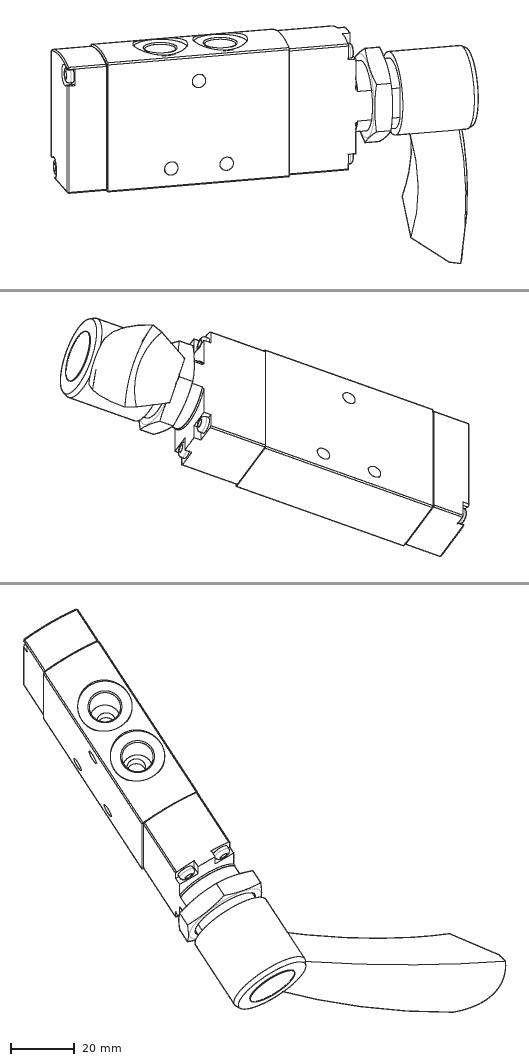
import cadquery as cq
import math


valve_width = 20.0
half_width = valve_width / 2
block_right = 10.5
block_bottom = -21.3
block_crown = 22.8
crown_rise = 1.7
cap_length = 13.0
block_end = 72.0
end_piece_bottom = -20.9
end_piece_crown = 22.2
edge_break = 0.5

mid_y = 42.6
port_offset = 9.8
port_spot_diameter = 17.1
port_spot_floor = 21.5
port_diameter = 9.8
port_depth = 12.0
port_mouth_chamfer = 0.5
passage_diameter = 5.9
passage_offset = 9.0
passage_depth = 4.5
mount_diameter = 4.4
mount_upper_z = 12.9
mount_lower_z = -15.2

screw_x = 6.5
screw_upper_z = 17.3
screw_lower_z = -17.3
screw_head_diameter = 5.3
screw_head_height = 2.1
screw_flat_diameter = 3.0
screw_head_rounding = (screw_head_diameter - screw_flat_diameter) / 2
screw_socket_diameter = 2.4
screw_socket_depth = 1.2
recess_diameter = 6.8
recess_depth = 2.4
recess_slot_height = 5.3

housing_end = 93.8
notch_inner_x = 3.2
notch_inner_z = 15.6
neck_diameter = 22.2
collar_diameter = 22.7
collar_length = 0.6
neck_end = 108.2

nut_across_flats = 27.0
nut_start = 98.9
nut_end = 104.9
nut_chamfer_diameter = 26.4
nut_chamfer_angle = 15.0

hub_diameter = 26.4
hub_end = 132.9
hub_edge_length = 1.5
hub_edge_inset = 0.8
hub_disc_diameter = 16.5
hub_disc_height = 0.3
arm_turn = 135.0
arm_start = 6.0
wedge_apex_y = 110.5
wedge_slope = 0.38
arm_back_y = 154.5
front_arc_start = (arm_start, 111.0)
front_arc_middle = (52.0, 125.7)
tip_front = (87.6, 129.9)
crown_radius = 472.5
crown_center = (151.2, -319.8)
crown_section_radius = 33.0
tip_slope = 0.7
tip_reach = 100.4
tip_radius = 24.0


def rod(diameter, y_start, y_end, x=0.0, z=0.0):
    """Cylinder along Y."""
    return cq.Workplane("XZ", origin=(x, y_end, z)).circle(diameter / 2).extrude(y_end - y_start)


def block_between(x_range, y_range, z_range):
    """Axis-aligned block given by its limits."""
    size = [high - low for low, high in (x_range, y_range, z_range)]
    corner = (x_range[0], y_range[0], z_range[0])
    return cq.Workplane("XY").box(*size, centered=False).translate(corner)


def domed_prism(right, bottom, crown, y_start, y_end):
    """Prism along Y with a flat bottom, flat sides and an arched top."""
    side_top = crown - crown_rise
    return (
        cq.Workplane("XZ", origin=(0, y_end, 0))
        .moveTo(-half_width, bottom)
        .lineTo(right, bottom)
        .lineTo(right, side_top)
        .threePointArc(((right - half_width) / 2, crown), (-half_width, side_top))
        .close()
        .extrude(y_end - y_start)
    )


def screw_head(x, z, seat_y, outward):
    """Rounded screw head with a socket; outward is +1 or -1 along Y."""
    head = rod(screw_head_diameter, 0, screw_head_height)
    head = head.faces(">Y").edges().fillet(screw_head_rounding)
    head = head.cut(
        rod(screw_socket_diameter, screw_head_height - screw_socket_depth, screw_head_height)
    )
    if outward < 0:
        head = head.mirror("XZ")
    return head.translate((x, seat_y, z))


def make_cap():
    cap = domed_prism(half_width, end_piece_bottom, end_piece_crown, 0, cap_length)
    cap = cap.edges().chamfer(edge_break)
    half_slot = recess_slot_height / 2
    upper_slot = (screw_upper_z - half_slot, screw_upper_z + half_slot)
    lower_slot = (block_bottom, screw_lower_z + half_slot)
    for side, z, z_range in ((1, screw_upper_z, upper_slot), (-1, screw_lower_z, lower_slot)):
        x = side * screw_x
        x_range = sorted((x, side * block_right))
        cap = cap.cut(rod(recess_diameter, 0, recess_depth, x, z))
        cap = cap.cut(block_between(x_range, (0, recess_depth), z_range))
        cap = cap.union(screw_head(x, z, recess_depth, -1))
    return cap


def make_valve_block():
    block = domed_prism(block_right, block_bottom, block_crown, cap_length, block_end)
    block = block.edges("|Y").chamfer(edge_break)
    for side in (-1, 1):
        port_y = mid_y + side * port_offset
        port = (
            cq.Workplane("XY", origin=(0, port_y, port_spot_floor))
            .circle(port_spot_diameter / 2).extrude(crown_rise)
            .faces("<Z").workplane().circle(port_diameter / 2).extrude(port_depth)
        )
        mouth = cq.Workplane("XY").add(
            cq.Solid.makeCone(
                port_diameter / 2 + port_mouth_chamfer, port_diameter / 2, port_mouth_chamfer,
                pnt=(0, port_y, port_spot_floor), dir=(0, 0, -1),
            )
        )
        passage = (
            cq.Workplane("XY", origin=(0, mid_y + side * passage_offset, port_spot_floor - port_depth))
            .circle(passage_diameter / 2).extrude(-passage_depth)
        )
        block = block.cut(port).cut(mouth).cut(passage)
    mount_places = (
        (mid_y, mount_upper_z),
        (mid_y - passage_offset, mount_lower_z),
        (mid_y + passage_offset, mount_lower_z),
    )
    mount_holes = (
        cq.Workplane("YZ").pushPoints(mount_places)
        .circle(mount_diameter / 2).extrude(2 * block_right, both=True)
    )
    return block.cut(mount_holes).union(make_cap())


def make_rear_housing():
    housing = domed_prism(half_width, end_piece_bottom, end_piece_crown, block_end, housing_end)
    housing = housing.edges("|Y").chamfer(edge_break)
    seat_y = housing_end - recess_depth
    for side in (-1, 1):
        x_range = sorted((side * notch_inner_x, side * block_right))
        for screw_z, z_range in (
            (screw_upper_z, (notch_inner_z, block_crown)),
            (screw_lower_z, (block_bottom, -notch_inner_z)),
        ):
            housing = housing.cut(block_between(x_range, (seat_y, housing_end), z_range))
            housing = housing.union(screw_head(side * screw_x, screw_z, seat_y, 1))
    neck_flats = block_between(
        (-half_width, half_width), (housing_end, neck_end), (-collar_diameter, collar_diameter)
    )
    collar = rod(collar_diameter, housing_end, housing_end + collar_length)
    neck = rod(neck_diameter, housing_end, neck_end).union(collar)
    return housing.union(neck.intersect(neck_flats))


def make_nut():
    corner_diameter = nut_across_flats / math.cos(math.radians(30))
    thickness = nut_end - nut_start
    nut = (
        cq.Workplane("XZ", origin=(0, nut_end, 0))
        .polygon(6, corner_diameter).extrude(thickness)
        .rotate((0, 0, 0), (0, 1, 0), 30)
    )
    corner_inset = (corner_diameter - nut_chamfer_diameter) / 2
    corner_drop = corner_inset * math.tan(math.radians(nut_chamfer_angle))
    rounded_corners = (
        rod(corner_diameter, nut_start, nut_end).edges().chamfer(corner_drop, corner_inset)
    )
    bore = rod(neck_diameter, nut_start, nut_end)
    return nut.intersect(rounded_corners).cut(bore)


def make_arm():
    """Wedge-shaped arm along +X, curved along its length and domed on its +Y back."""
    back_half_width = wedge_slope * (arm_back_y - wedge_apex_y)
    wedge = (
        cq.Workplane("YZ", origin=(arm_start, 0, 0))
        .polyline([(wedge_apex_y, 0), (arm_back_y, back_half_width), (arm_back_y, -back_half_width)])
        .close().extrude(tip_reach - arm_start)
    )
    tip_back_u = tip_front[0] + tip_slope * (arm_back_y - tip_front[1])
    side_profile = (
        cq.Workplane("XY")
        .moveTo(*front_arc_start)
        .threePointArc(front_arc_middle, tip_front)
        .lineTo(tip_back_u, arm_back_y)
        .lineTo(arm_start, arm_back_y)
        .close().extrude(back_half_width, both=True)
    )
    crown = cq.Workplane("XY").add(
        cq.Solid.makeTorus(
            crown_radius - crown_section_radius, crown_section_radius, cq.Vector(*crown_center, 0)
        )
    )
    tip_center = tip_reach - tip_radius
    rounded_plan = (
        cq.Workplane("XZ", origin=(0, arm_back_y, 0))
        .moveTo(0, -tip_radius)
        .lineTo(tip_center, -tip_radius)
        .threePointArc((tip_reach, 0), (tip_center, tip_radius))
        .lineTo(0, tip_radius)
        .close().extrude(arm_back_y - front_arc_start[1])
    )
    return wedge.intersect(side_profile).intersect(crown).intersect(rounded_plan)


def make_lever():
    hub = rod(hub_diameter, neck_end, hub_end)
    hub = hub.faces(">Y").chamfer(hub_edge_length, hub_edge_inset)
    hub = hub.union(rod(hub_disc_diameter, hub_end, hub_end + hub_disc_height))
    arm = make_arm().rotate((0, 0, 0), (0, 1, 0), arm_turn)
    return hub.union(arm)


valve_block = make_valve_block()
rear_housing = make_rear_housing()
nut = make_nut()
lever = make_lever()

bodies = [valve_block, rear_housing, nut, lever]
result = cq.Compound.makeCompound([body.solids().val() for body in bodies])